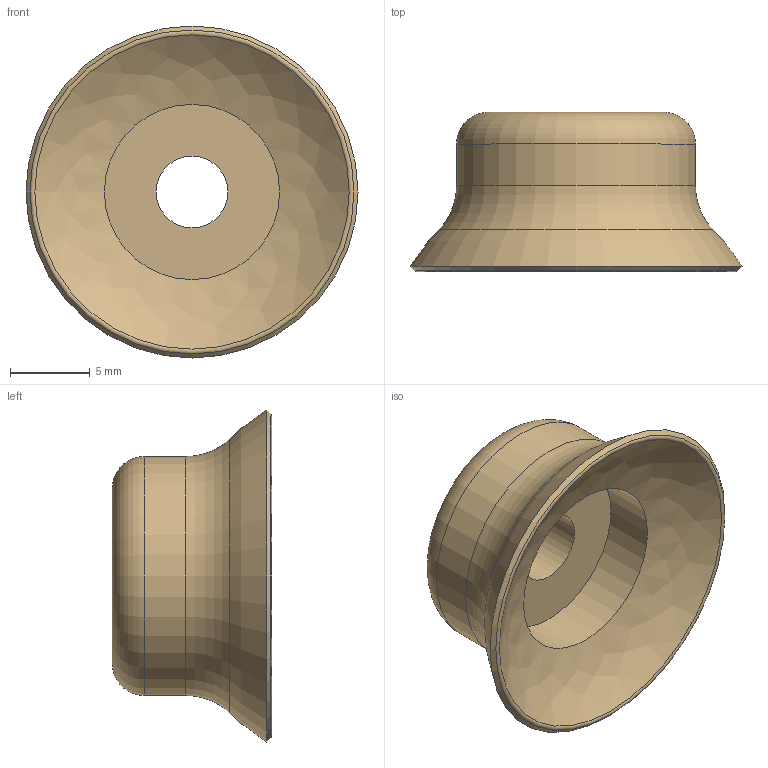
import cadquery as cq
import math


LENGTH = 10.0
SKIRT_RADIUS = 10.42

GRIP_RADIUS = 7.5
BACK_EDGE_RADIUS = 2.0
GRIP_FRONT_Y = 5.4

NECK_RADIUS = 4.1
NECK_END_Y = 2.65
FLARE_RADIUS = 11.0

TIP_RADIUS = 0.22
TIP_CENTER_RADIUS = 10.01
CHAMFER_ANGLE = math.radians(45)

DISH_RADIUS = 10.0
DISH_EDGE_ANGLE = math.radians(41)
BORE_RADIUS = 5.5
BORE_FLOOR_Y = 5.5
HOLE_RADIUS = 2.25


def polar(center, radius, angle):
    """Point on a circle; the angle is measured from -Y towards the outside."""
    return (center[0] + radius * math.sin(angle), center[1] - radius * math.cos(angle))


def arc_middle(start, end, center):
    """Middle point of the short arc from start to end about center."""
    radius = math.dist(start, center)
    mid_x = (start[0] + end[0]) / 2 - center[0]
    mid_y = (start[1] + end[1]) / 2 - center[1]
    scale = radius / math.hypot(mid_x, mid_y)
    return (center[0] + mid_x * scale, center[1] + mid_y * scale)


def half_section():
    """Closed half section; first coordinate is the radius, second is Y."""
    tip_center = (TIP_CENTER_RADIUS, TIP_RADIUS)
    dish_outer = polar(tip_center, TIP_RADIUS, -DISH_EDGE_ANGLE)
    dish_center = polar(tip_center, TIP_RADIUS + DISH_RADIUS, -DISH_EDGE_ANGLE)
    dish_offset = BORE_RADIUS - dish_center[0]
    dish_inner = (BORE_RADIUS, dish_center[1] + math.sqrt(DISH_RADIUS**2 - dish_offset**2))

    chamfer_start = polar(tip_center, TIP_RADIUS, CHAMFER_ANGLE)
    chamfer_rise = (SKIRT_RADIUS - chamfer_start[0]) * math.tan(CHAMFER_ANGLE)
    skirt_edge = (SKIRT_RADIUS, chamfer_start[1] + chamfer_rise)

    neck_center = (GRIP_RADIUS + NECK_RADIUS, GRIP_FRONT_Y)
    neck_start = (GRIP_RADIUS, GRIP_FRONT_Y)
    neck_reach = math.sqrt(NECK_RADIUS**2 - (GRIP_FRONT_Y - NECK_END_Y) ** 2)
    neck_end = (neck_center[0] - neck_reach, NECK_END_Y)

    round_center = (GRIP_RADIUS - BACK_EDGE_RADIUS, LENGTH - BACK_EDGE_RADIUS)
    round_start = (GRIP_RADIUS, round_center[1])
    round_end = (round_center[0], LENGTH)

    return (
        cq.Workplane("XY")
        .moveTo(HOLE_RADIUS, LENGTH)
        .lineTo(HOLE_RADIUS, BORE_FLOOR_Y)
        .lineTo(BORE_RADIUS, BORE_FLOOR_Y)
        .lineTo(*dish_inner)
        .threePointArc(arc_middle(dish_inner, dish_outer, dish_center), dish_outer)
        .threePointArc(arc_middle(dish_outer, chamfer_start, tip_center), chamfer_start)
        .lineTo(*skirt_edge)
        .radiusArc(neck_end, -FLARE_RADIUS)
        .threePointArc(arc_middle(neck_end, neck_start, neck_center), neck_start)
        .lineTo(*round_start)
        .threePointArc(arc_middle(round_start, round_end, round_center), round_end)
        .close()
    )


result = half_section().revolve(360, (0, 0, 0), (0, 1, 0))